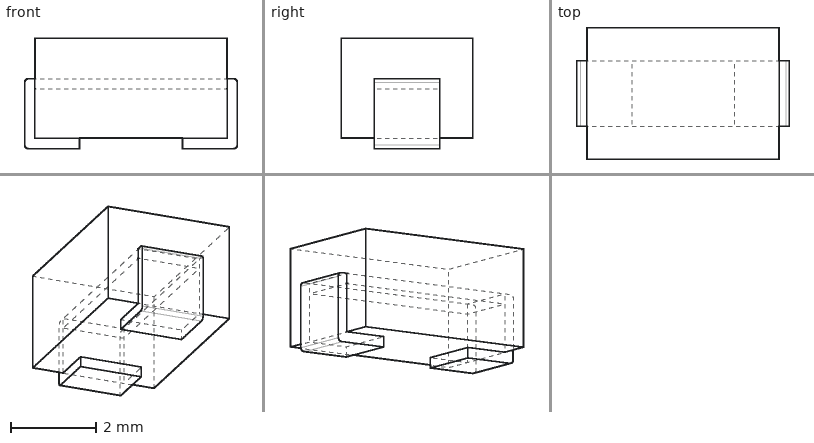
import cadquery as cq

housing_length = 4.515
housing_width = 3.1
housing_height = 2.35

lead_span = 5.0
lead_width = 1.55
lead_height = 1.65
foot_length = 1.295
bend_radius = 0.09
standoff = 0.25
strip_thickness = (lead_span - housing_length) / 2

foot_gap = lead_span - 2 * foot_length


def centred_box(length, width, height, base_z):
    """Box centred on the Z axis, standing on the plane Z = base_z."""
    return (
        cq.Workplane("XY")
        .workplane(offset=base_z)
        .box(length, width, height, centered=(True, True, False))
    )


def make_leadframe():
    """One strip: through the housing, down both ends and inward as feet under it."""
    outer = centred_box(lead_span, lead_width, lead_height, 0).edges("|Y").fillet(bend_radius)
    window_height = lead_height - standoff - strip_thickness
    window = centred_box(housing_length, lead_width, window_height, standoff)
    gap_between_feet = centred_box(foot_gap, lead_width, standoff, 0)
    return outer.cut(window).cut(gap_between_feet)


def make_housing(leadframe):
    """Plain block with a slot that the leadframe strip fills."""
    block = centred_box(housing_length, housing_width, housing_height, standoff)
    return block.cut(leadframe)


leadframe = make_leadframe()
housing = make_housing(leadframe)

result = cq.Compound.makeCompound([housing.val(), leadframe.val()])